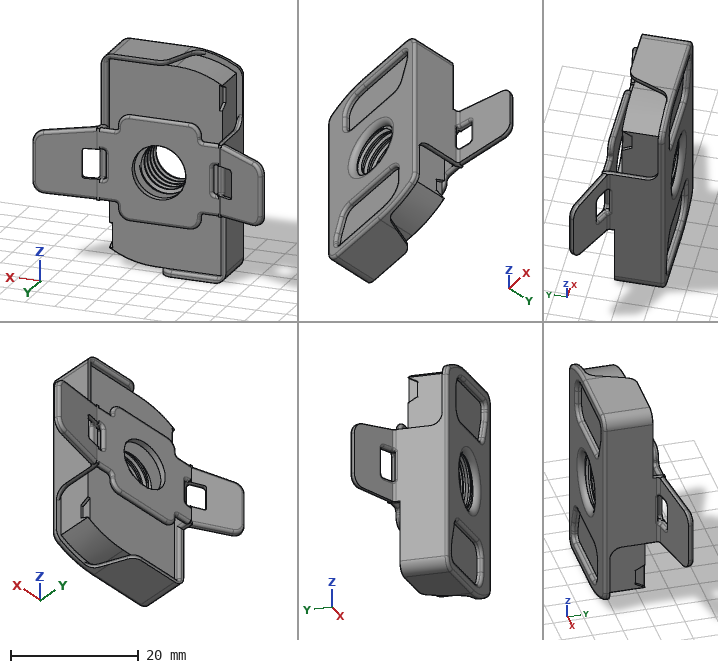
import cadquery as cq
import math

half_width = 10.5
half_height = 18.0
cover_depth = 8.0
sheet = 1.0
edge_round = 0.5

sweep_radius = 16.0
sweep_start = 1.75
outer_corner = 2.0
inner_corner = 0.5

hole_radius = 4.5
hole_rounding = 1.0
thread_minor_radius = 4.0
thread_pitch = 1.25
thread_flat = thread_pitch / 4
flank_angle = 30.0
thread_depth = (thread_pitch - 2 * thread_flat) / (2 * math.tan(math.radians(flank_angle)))

window_left = -6.4
window_right = 8.5
window_bottom = 8.55
window_inset = 2.0
window_slant_top = 13.65
window_slant_angle = 20.0
window_swept_radius = 3.0
window_corner_radius = 2.0
window_tight_radius = 1.0
window_slant_radius = 5.0

leg_half_height = 6.0
opening_corner = 2.0
opening_slope = 22.0
opening_middle = -1.5
end_clearance_bottom = 14.0

plate_half_width = 6.95
plate_half_height = 8.85
plate_corner = 2.0
plate_rounding = 0.49
plate_gap = 1.0
plate_front = cover_depth + plate_gap
plate_back = plate_front + sheet

wings = (
    (-1, 9.12, 23.75, 2.72),
    (1, 10.4, 11.0, 2.5),
)
wing_top_taper = 7.5
wing_bottom_taper = 3.0
wing_corner = 2.0
wing_root = 0.3
bend_radius = 0.5
slot_half_height = 2.5
slot_corner = 0.5
slot_bottom = plate_front - 0.1
slot_bottom_corner = 0.15
slot_plate_reach = 1.5

nut_back = cover_depth - 1.0
recess_depth = 0.5
recess_reach = 1.6
recess_draft = 0.85
recess_bottom = 10.6

beyond = 5.0
tolerance = 0.01
half_arc = math.sqrt(0.5)


def nearest(x, y, z):
    return cq.selectors.NearestToPointSelector((x, y, z))


def between(low, high):
    return cq.selectors.BoxSelector(low, high)


def plane_at(y):
    """Sketch plane facing the front, local axes X and Z, extruding towards +Y with a negative length."""
    return cq.Workplane("XZ", origin=(0, y, 0))


def half_turn(shape):
    return shape.rotate((0, 0, 0), (0, 1, 0), 180)


def arc_height(x, inset):
    """Z of the swept arc at x, for an outline moved inwards by inset."""
    radius = sweep_radius - inset
    return half_height - sweep_radius + math.sqrt(radius**2 - (x + sweep_start) ** 2)


def outline_prism(inset, square_radius, y_front, y_back):
    w = half_width - inset
    h = half_height - inset
    mid_x = -(w + sweep_start) / 2
    mid_z = arc_height(mid_x, inset)
    corner_z = arc_height(-w, inset)
    prism = (
        plane_at(y_front)
        .moveTo(-sweep_start, h)
        .lineTo(w, h)
        .lineTo(w, -corner_z)
        .threePointArc((-mid_x, -mid_z), (sweep_start, -h))
        .lineTo(-w, -h)
        .lineTo(-w, corner_z)
        .threePointArc((mid_x, mid_z), (-sweep_start, h))
        .close()
        .extrude(y_front - y_back)
    )
    for side in (1, -1):
        corner = nearest(side * w, (y_front + y_back) / 2, side * h)
        prism = prism.edges("|Y").edges(corner).fillet(square_radius)
    return prism


def round_swept_corners(prism, inset, radius):
    w = half_width - inset
    corner_z = arc_height(-w, inset)
    for side in (1, -1):
        corner = nearest(-side * w, sheet, side * corner_z)
        prism = prism.edges("|Y").edges(corner).fillet(radius)
    return prism


def window():
    """Prism of the upper window, rounded in plan; its rim is rounded outwards."""
    inset = window_inset
    top = half_height - inset
    slant_run = (window_slant_top - window_bottom) * math.tan(math.radians(window_slant_angle))
    mid_x = (window_left - sweep_start) / 2
    left_top = arc_height(window_left, inset)
    prism = (
        plane_at(0)
        .moveTo(-sweep_start, top)
        .lineTo(window_right, top)
        .lineTo(window_right, window_slant_top)
        .lineTo(window_right - slant_run, window_bottom)
        .lineTo(window_left, window_bottom)
        .lineTo(window_left, left_top)
        .threePointArc((mid_x, arc_height(mid_x, inset)), (-sweep_start, top))
        .close()
        .extrude(-sheet)
    )
    corners = (
        (window_right, top, window_tight_radius),
        (window_right, window_slant_top, window_slant_radius),
        (window_right - slant_run, window_bottom, window_corner_radius),
        (window_left, window_bottom, window_corner_radius),
        (window_left, left_top, window_swept_radius),
    )
    for x, z, radius in corners:
        corner = nearest(x, sheet / 2, z)
        prism = prism.edges("|Y").edges(corner).fillet(radius)
    return prism


def wall_clearance():
    """Cutter outside two neighbouring walls: their rims, the gap beside the leg and the swept corner."""
    far_x = half_width + beyond
    far_y = plate_back + beyond
    far_z = half_height + beyond
    side = (
        cq.Workplane("YZ", origin=(-far_x, 0, 0))
        .moveTo(sheet, far_z)
        .lineTo(sheet, leg_half_height)
        .lineTo(far_y, leg_half_height)
        .lineTo(far_y, far_z)
        .close()
        .extrude(beyond + 2 * sheet)
        .edges(nearest(-half_width, sheet, leg_half_height))
        .fillet(opening_corner)
    )
    side_rim = (
        cq.Workplane("YZ", origin=(-far_x, 0, 0))
        .moveTo(cover_depth, -far_z)
        .lineTo(cover_depth, -leg_half_height)
        .lineTo(far_y, -leg_half_height)
        .lineTo(far_y, -far_z)
        .close()
        .extrude(beyond + 2 * sheet)
    )
    half_run = math.tan(math.radians(opening_slope)) * (cover_depth - sheet) / 2
    low_x = opening_middle - half_run
    high_x = opening_middle + half_run
    end = (
        cq.Workplane("XY", origin=(0, 0, end_clearance_bottom))
        .moveTo(-far_x, sheet)
        .lineTo(low_x, sheet)
        .lineTo(high_x, cover_depth)
        .lineTo(far_x, cover_depth)
        .lineTo(far_x, far_y)
        .lineTo(-far_x, far_y)
        .close()
        .extrude(far_z - end_clearance_bottom)
    )
    for x, y in ((low_x, sheet), (high_x, cover_depth)):
        end = end.edges(nearest(x, y, half_height)).fillet(opening_corner)
    return side.union(side_rim).union(end)


def is_inner_rim(edge):
    """True for the edges where the cavity meets the clearance outside the walls."""
    center = edge.Center()
    size = edge.BoundingBox()
    on_inner_face = abs(center.x) < half_width - sheet / 2 and abs(center.z) < half_height - sheet / 2
    above_floor = 0 < center.y < plate_back + beyond / 2
    along_y = max(size.xlen, size.zlen) < tolerance
    beside_leg = abs(abs(center.z) - leg_half_height) < tolerance
    return on_inner_face and above_floor and (beside_leg or not along_y)


def inside_cutter():
    """Everything behind the front and off the walls, flared where the inner rim is rounded."""
    cavity = outline_prism(sheet, inner_corner, -beyond, plate_back + beyond)
    cavity = round_swept_corners(cavity, sheet, outer_corner - sheet)
    clearance = wall_clearance()
    cutter = cavity.union(clearance).union(half_turn(clearance))
    cutter = cutter.newObject(list(filter(is_inner_rim, cutter.edges().vals()))).fillet(edge_round)
    size = 4 * half_height
    front = cq.Workplane("XY").box(size, size, size).translate((0, sheet - size / 2, 0))
    return cutter.cut(front)


def shell():
    body = outline_prism(0, outer_corner, 0, plate_back)
    body = round_swept_corners(body, 0, outer_corner)
    body = body.faces("<Y").edges().fillet(edge_round)
    between_legs = cq.Workplane("XY").box(2 * half_width - sheet, sheet, 2 * half_height)
    return body.cut(inside_cutter()).cut(between_legs.translate((0, plate_back, 0)))


def inside_bend():
    """Rounded filling in the corner between the plate's front and the +X leg."""
    leg_x = half_width - sheet
    curve = bend_radius * (1 - half_arc)
    return (
        cq.Workplane("XY")
        .moveTo(leg_x, plate_front - bend_radius)
        .threePointArc((leg_x - curve, plate_front - curve), (leg_x - bend_radius, plate_front))
        .lineTo(leg_x, plate_front + sheet / 2)
        .close()
        .extrude(leg_half_height - edge_round, both=True)
    )


def plate():
    """Plate behind the nut with its bridges into the legs, slotted there, front and back edges rounded."""
    body = (
        plane_at(plate_front)
        .rect(2 * plate_half_width, 2 * plate_half_height)
        .extrude(-sheet)
        .edges("|Y")
        .fillet(plate_corner)
    )
    bridge_half = half_width - sheet / 2
    bridge = plane_at(plate_front).rect(2 * bridge_half, 2 * leg_half_height).extrude(-sheet)
    body = body.union(bridge)
    for x in (plate_half_width, -plate_half_width):
        for z in (leg_half_height, -leg_half_height):
            body = body.edges(nearest(x, plate_back - sheet / 2, z)).fillet(edge_round)
    opening = (
        plane_at(slot_bottom)
        .center(half_width, 0)
        .rect(2 * slot_plate_reach, 2 * slot_half_height)
        .extrude(-2 * sheet)
        .edges("|Y and <X")
        .fillet(slot_corner)
    )
    body = body.cut(opening).cut(half_turn(opening))
    end_x = bridge_half - tolerance
    off_legs = between((-end_x, 0, -half_height), (end_x, 2 * plate_back, half_height))
    body = body.faces("<Y or >Y").edges(off_legs).fillet(plate_rounding)
    filling = inside_bend().cut(opening)
    return body.union(filling)


def wing_plane(side, angle):
    """Sketch plane on a wing's front face: local X along the wing, extruding towards its back."""
    slope = math.radians(angle)
    along = (side * math.cos(slope), math.sin(slope), 0)
    back = (-side * math.sin(slope), math.cos(slope), 0)
    return cq.Workplane(cq.Plane(origin=(side * half_width, plate_front, 0), xDir=along, normal=back))


def wing_point(side, angle, along, depth):
    """X and Y of a point at a distance along the wing and a depth behind its front face."""
    slope = math.radians(angle)
    x = side * (half_width + along * math.cos(slope) - depth * math.sin(slope))
    y = plate_front + along * math.sin(slope) + depth * math.cos(slope)
    return x, y


def wing(side, length, angle):
    up = -side
    top_drop = length * math.tan(math.radians(wing_top_taper))
    bottom_drop = length * math.tan(math.radians(wing_bottom_taper))
    blade = (
        wing_plane(side, angle)
        .moveTo(-wing_root, up * leg_half_height)
        .lineTo(0, up * leg_half_height)
        .lineTo(length, up * (leg_half_height - top_drop))
        .lineTo(length, -up * (leg_half_height - bottom_drop))
        .lineTo(0, -up * leg_half_height)
        .lineTo(-wing_root, -up * leg_half_height)
        .close()
        .extrude(sheet)
    )
    tip_x, tip_y = wing_point(side, angle, length, sheet / 2)
    for z in (leg_half_height - top_drop, bottom_drop - leg_half_height):
        blade = blade.edges(nearest(tip_x, tip_y, z)).fillet(wing_corner)
    back_x, back_y = wing_point(side, angle, length / 2, sheet)
    back_face = blade.faces(nearest(back_x, back_y, 0))
    root_x, root_y = wing_point(side, angle, -wing_root, sheet)
    free_edges = cq.selectors.InverseSelector(nearest(root_x, root_y, 0))
    return back_face.edges(free_edges).fillet(edge_round)


def bend_corner(side, angle, face_bottom):
    """Open profile up a leg's outer face, round the bend and onto the wing's front face."""
    half_bend_angle = math.radians(90 - angle) / 2
    reach = bend_radius * math.tan(half_bend_angle)
    gap = bend_radius / math.cos(half_bend_angle) - bend_radius
    face_x = side * half_width
    middle = (face_x + side * gap * math.cos(half_bend_angle), plate_front - gap * math.sin(half_bend_angle))
    return (
        cq.Workplane("XY")
        .moveTo(face_x, face_bottom)
        .lineTo(face_x, plate_front - reach)
        .threePointArc(middle, wing_point(side, angle, reach, 0))
    )


def bend(side, angle):
    """Rounded filling in the corner between a leg's outer face and a wing's front face."""
    inside = wing_point(side, angle, 0, sheet / 2)
    filling = bend_corner(side, angle, plate_front - bend_radius).lineTo(*inside).close()
    return filling.extrude(leg_half_height, both=True)


def slot(side, angle, reach):
    """Cutter for the slot in wing and leg, flared where it leaves the front faces."""
    through_wing = (
        wing_plane(side, angle)
        .workplane(offset=-sheet)
        .center((bend_radius + reach) / 2, 0)
        .rect(reach - bend_radius, 2 * slot_half_height)
        .extrude(3 * sheet)
    )
    corner_x, corner_y = wing_point(side, angle, reach, sheet / 2)
    for z in (slot_half_height, -slot_half_height):
        through_wing = through_wing.edges(nearest(corner_x, corner_y, z)).fillet(slot_corner)
    inner_x = half_width - sheet
    outer_x = half_width + bend_radius
    through_leg = (
        plane_at(slot_bottom)
        .center(side * (inner_x + outer_x) / 2, 0)
        .rect(outer_x - inner_x, 2 * slot_half_height)
        .extrude(-beyond)
        .faces("<Y")
        .edges("|X")
        .fillet(slot_bottom_corner)
    )
    air_bottom = plate_front - 4 * sheet
    far_x, far_y = wing_point(side, angle, reach + 2 * sheet, 0)
    air = (
        bend_corner(side, angle, air_bottom)
        .lineTo(far_x, far_y)
        .lineTo(far_x, air_bottom)
        .close()
        .extrude(leg_half_height - sheet, both=True)
    )
    cutter = air.union(through_wing.union(through_leg))

    def is_mouth(edge):
        """True for the edges where the slot opens into the space in front of wing and leg."""
        center = edge.Center()
        slope = math.radians(angle)
        from_root_x = side * center.x - half_width
        depth = math.cos(slope) * (center.y - plate_front) - math.sin(slope) * from_root_x
        in_front = depth < tolerance
        within_slot = edge.BoundingBox().zlen + 2 * abs(center.z) < 2 * slot_half_height + tolerance
        return in_front and within_slot and 0 < from_root_x < reach

    return cutter.newObject(list(filter(is_mouth, cutter.edges().vals()))).fillet(edge_round)


def windows():
    body = window()
    return body.union(half_turn(body))


def bolt_hole():
    """Round hole through front and plate, its front rim rounded over the whole sheet."""
    mid = hole_rounding * (1 - half_arc)
    return (
        cq.Workplane("XY")
        .moveTo(0, 0)
        .lineTo(hole_radius + hole_rounding, 0)
        .threePointArc((hole_radius + mid, mid), (hole_radius, hole_rounding))
        .lineTo(hole_radius, plate_back + beyond)
        .lineTo(0, plate_back + beyond)
        .close()
        .revolve(360, (0, 0, 0), (0, 1, 0))
    )


def thread_cutter():
    """Helical V groove with a flat root, wound along the bolt hole's axis."""
    root = thread_minor_radius + thread_depth
    overlap = 0.1
    mouth = thread_pitch - thread_flat + 2 * overlap * math.tan(math.radians(flank_angle))
    start = sheet - 1.5 * thread_pitch
    thread_length = nut_back - sheet + 3 * thread_pitch
    helix = cq.Wire.makeHelix(thread_pitch, thread_length, thread_minor_radius)
    profile = (
        cq.Workplane("XZ")
        .moveTo(thread_minor_radius - overlap, -mouth / 2)
        .lineTo(root, -thread_flat / 2)
        .lineTo(root, thread_flat / 2)
        .lineTo(thread_minor_radius - overlap, mouth / 2)
        .close()
    )
    groove = profile.sweep(cq.Workplane(helix), isFrenet=True)
    return groove.rotate((0, 0, 0), (1, 0, 0), -90).translate((0, start, 0))


def recess():
    """Tapered recess in the nut's side, open to its back."""
    top = arc_height(-(half_width - sheet), sheet)
    return (
        cq.Workplane("YZ", origin=(-half_width + sheet, 0, 0))
        .moveTo(nut_back, recess_bottom)
        .lineTo(nut_back - recess_reach, recess_bottom + recess_draft)
        .lineTo(nut_back - recess_reach, top - recess_draft)
        .lineTo(nut_back, top)
        .close()
        .extrude(recess_depth)
    )


def make_cover():
    body = shell().union(plate())
    for side, length, angle, reach in wings:
        body = body.union(wing(side, length, angle)).union(bend(side, angle))
    for side, length, angle, reach in wings:
        body = body.cut(slot(side, angle, reach))
    body = body.cut(windows())
    rim_x = half_width - sheet
    rim_z = half_height - window_inset + tolerance
    rims = between((-rim_x, -sheet, -rim_z), (rim_x, sheet, rim_z))
    body = body.faces("<Y").edges(rims).fillet(edge_round)
    return body.cut(bolt_hole())


def make_nut():
    body = outline_prism(sheet, inner_corner, sheet, nut_back)
    bore = plane_at(-beyond).circle(thread_minor_radius).extrude(-4 * beyond)
    body = body.cut(bore.union(thread_cutter()))
    side_recess = recess()
    return body.cut(side_recess).cut(half_turn(side_recess))


cover = make_cover()
nut = make_nut()
result = cq.Compound.makeCompound([cover.val(), nut.val()])